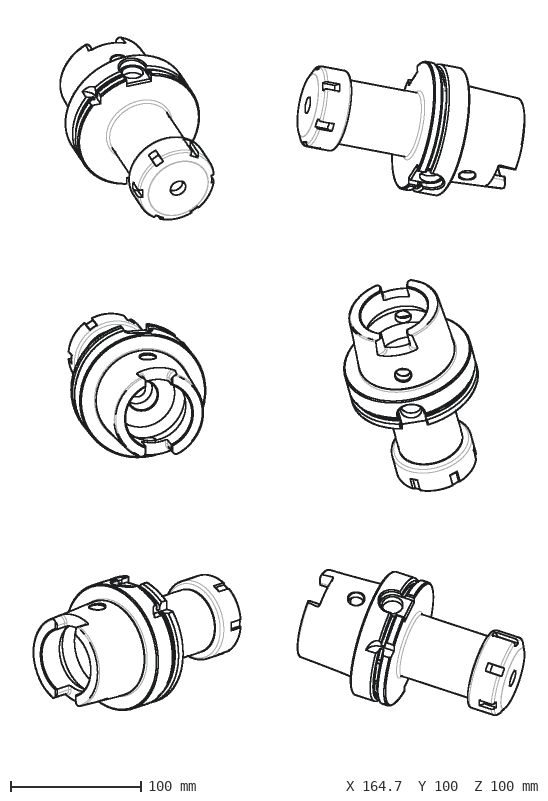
import cadquery as cq
import math


CUT_MARGIN = 3.3

overall_length = 164.7
flange_start = 49.9
flange_end = 79.0
neck_end = 138.7
nut_start = 139.3
nose_end = 158.1

shank_end_radius = 35.4
shank_base_radius = 37.9
taper_end = 47.8
relief_start = 48.6
relief_radius = 37.5
relief_fillet = 1.2
shank_rim_fillet = 1.0

bore_radius = 26.4
bore_mouth_chamfer = 0.8
bore_lip_end = 20.0
recess_radius = 31.0
recess_end = 41.2
recess_cone_angle = 30.0
bore_floor_radius = 25.4
coolant_seat_radius = 11.7
coolant_seat_depth = 16.5
coolant_seat_chamfer = 0.7
through_hole_radius = 6.3

drive_half_width = 10.0
drive_straight_height = 27.5
drive_flare_radius = 5.0
drive_inner_height = 16.5
drive_outer_height = 42.8
drive_outer_half_width = 23.0
drive_depth_top = 10.0
drive_depth_bottom = 14.7
drive_floor_fillet = 1.3
drive_mouth_chamfer = 1.0

cross_hole_x = 34.8
cross_hole_radius = 6.1
cross_hole_chamfer = 0.5

flange_radius = 49.99
flange_chamfer = 1.0
groove_outer_start = 66.7
groove_floor_start = 68.2
groove_floor_end = 71.5
groove_outer_end = 73.1
groove_flank_foot = 48.0
groove_radius = 45.8
groove_floor_fillet = 0.5
neck_radius = 25.0
neck_fillet = 2.0
nose_radius = 24.4

keyway_half_width = 9.9
keyway_floor = 44.0
keyway_center_x = 64.9
keyway_edge_chamfer = 1.2
keyway_end_chamfer = 1.5
pocket_radius = 8.0
pocket_depth = 5.6

notch_offset = 31.5
notch_radius = keyway_half_width
notch_center_x = groove_floor_start

pin_hole_radius = 1.56
pin_hole_depth = 6.6
pin_hole_angles = (30.0, 4.7, -20.0, -30.0)

nut_radius = 31.5
nut_back_fillet = 2.0
nut_face_radius = 24.5
nut_cone_angle = 60.0
nut_shoulder_fillet = 2.3
nut_face_fillet = 0.7
nut_slot_count = 6
nut_slot_half_width = 3.3
nut_slot_floor = 28.3
nut_slot_start = 149.5
nut_long_slot_start = 142.5
nut_long_slot_index = 1


def revolve_about_x(points):
    """Turn a closed (x, radius) outline about the X axis."""
    return cq.Workplane("XY").polyline(points).close().revolve(360, (0, 0, 0), (1, 0, 0))


def edges_at(body, x, radius):
    """Select the circular edge around the X axis at one place and radius."""
    reach = radius + 0.08
    ring = cq.selectors.BoxSelector(
        (x - 0.08, -reach, -reach), (x + 0.08, reach, reach), boundingbox=True
    )
    inner = radius - 0.08
    core = cq.selectors.BoxSelector(
        (x - 0.08, -inner, -inner), (x + 0.08, inner, inner), boundingbox=True
    )
    return body.edges(ring - core)


def holder_blank():
    """Outside of the holder: taper, relief, plain flange, neck and nose."""
    blank = revolve_about_x([
        (0, 0),
        (0, shank_end_radius),
        (taper_end, shank_base_radius),
        (relief_start, relief_radius),
        (flange_start, relief_radius),
        (flange_start, flange_radius),
        (flange_end, flange_radius),
        (flange_end, neck_radius),
        (neck_end, neck_radius),
        (neck_end, nose_radius),
        (nose_end, nose_radius),
        (nose_end, 0),
    ])
    blank = edges_at(blank, 0, shank_end_radius).fillet(shank_rim_fillet)
    blank = edges_at(blank, flange_start, relief_radius).fillet(relief_fillet)
    blank = edges_at(blank, flange_start, flange_radius).chamfer(flange_chamfer)
    blank = edges_at(blank, flange_end, flange_radius).chamfer(flange_chamfer)
    return edges_at(blank, flange_end, neck_radius).fillet(neck_fillet)


def holder_bore():
    """Bore from the shank end: lip, clamping recess, coolant seat and through hole."""
    cone_slope = math.tan(math.radians(recess_cone_angle))
    recess_start = bore_lip_end + (recess_radius - bore_radius) / cone_slope
    bore_floor = recess_end + (recess_radius - bore_floor_radius) / cone_slope
    seat_end = bore_floor + coolant_seat_depth
    return revolve_about_x([
        (0, 0),
        (0, bore_radius + bore_mouth_chamfer),
        (bore_mouth_chamfer, bore_radius),
        (bore_lip_end, bore_radius),
        (recess_start, recess_radius),
        (recess_end, recess_radius),
        (bore_floor, bore_floor_radius),
        (bore_floor, coolant_seat_radius + coolant_seat_chamfer),
        (bore_floor + coolant_seat_chamfer, coolant_seat_radius),
        (seat_end, coolant_seat_radius),
        (seat_end, through_hole_radius),
        (nose_end, through_hole_radius),
        (nose_end, 0),
    ])


def drive_slot(depth):
    """Cutter for the +Z drive slot: straight walls that flare out to the surface."""
    flare_y = drive_half_width + drive_flare_radius
    flare_z = drive_straight_height + drive_flare_radius
    bulge = drive_flare_radius * math.sqrt(0.5)
    mid_y = flare_y - bulge
    mid_z = drive_straight_height + bulge
    slot = (
        cq.Workplane("YZ", origin=(-CUT_MARGIN, 0, 0))
        .moveTo(-drive_half_width, drive_inner_height)
        .lineTo(drive_half_width, drive_inner_height)
        .lineTo(drive_half_width, drive_straight_height)
        .threePointArc((mid_y, mid_z), (flare_y, flare_z))
        .lineTo(drive_outer_half_width, flare_z)
        .lineTo(drive_outer_half_width, drive_outer_height)
        .lineTo(-drive_outer_half_width, drive_outer_height)
        .lineTo(-drive_outer_half_width, flare_z)
        .lineTo(-flare_y, flare_z)
        .threePointArc((-mid_y, mid_z), (-drive_half_width, drive_straight_height))
        .close()
        .extrude(depth + CUT_MARGIN)
        .faces(">X").edges().fillet(drive_floor_fillet)
    )
    mouth = (
        cq.Workplane("XY", origin=(0, 0, drive_inner_height))
        .polyline([
            (0, drive_half_width + drive_mouth_chamfer),
            (drive_mouth_chamfer, drive_half_width),
            (drive_mouth_chamfer, -drive_half_width),
            (0, -drive_half_width - drive_mouth_chamfer),
        ])
        .close()
        .extrude(flare_z - drive_inner_height)
    )
    return slot.union(mouth)


def cross_holes():
    """Hole along Z through both shank walls, with a chamfered rim at each end."""
    rim_height = shank_base_radius - (shank_base_radius - shank_end_radius) * (
        1 - cross_hole_x / taper_end
    )
    rim_radius = cross_hole_radius + cross_hole_chamfer
    half_outline = [
        (0, 0),
        (cross_hole_radius, 0),
        (cross_hole_radius, rim_height - 2 * cross_hole_chamfer),
        (rim_radius, rim_height - cross_hole_chamfer),
        (rim_radius, rim_height + CUT_MARGIN),
        (0, rim_height + CUT_MARGIN),
    ]
    upper = (
        cq.Workplane("XZ", origin=(cross_hole_x, 0, 0))
        .polyline(half_outline)
        .close()
        .revolve(360, (0, 0, 0), (0, 1, 0))
    )
    return upper.union(upper.mirror("XY"))


def gripper_groove():
    """Ring cutter for the groove: sloping flanks, short straight walls, flat floor."""
    groove = revolve_about_x([
        (groove_outer_start, flange_radius),
        (groove_floor_start, groove_flank_foot),
        (groove_floor_start, groove_radius),
        (groove_floor_end, groove_radius),
        (groove_floor_end, groove_flank_foot),
        (groove_outer_end, flange_radius),
    ])
    for wall_x in (groove_floor_start, groove_floor_end):
        groove = edges_at(groove, wall_x, groove_radius).fillet(groove_floor_fillet)
    return groove


def keyway_slot():
    """Cutter for the +Z keyway: flat floor, round at the shank side, open towards +X."""
    open_end = flange_end + CUT_MARGIN
    return (
        cq.Workplane("XY", origin=(0, 0, keyway_floor))
        .moveTo(open_end, -keyway_half_width)
        .lineTo(keyway_center_x, -keyway_half_width)
        .threePointArc(
            (keyway_center_x - keyway_half_width, 0),
            (keyway_center_x, keyway_half_width),
        )
        .lineTo(open_end, keyway_half_width)
        .close()
        .extrude(flange_radius - keyway_floor + CUT_MARGIN)
    )


def keyway_rim(side):
    """Selector for the outer edges of one keyway; side is +1 for +Z and -1 for -Z."""
    reach_y = keyway_half_width + CUT_MARGIN
    rim_low = side * (flange_radius + keyway_floor) / 2
    rim_high = side * (flange_radius + CUT_MARGIN)
    return cq.selectors.BoxSelector(
        (flange_start + CUT_MARGIN, -reach_y, rim_low),
        (flange_end - CUT_MARGIN, reach_y, rim_high),
    )


def keyway_pocket():
    """Round pocket in the floor of the +Z keyway, and the chamfer at the floor's end."""
    pocket = (
        cq.Workplane("XY", origin=(keyway_center_x, 0, keyway_floor - pocket_depth))
        .circle(pocket_radius)
        .extrude(pocket_depth)
    )
    end_chamfer = (
        cq.Workplane("XZ", origin=(flange_end, 0, keyway_floor))
        .polyline([(-keyway_end_chamfer, 0), (0, 0), (0, -keyway_end_chamfer)])
        .close()
        .extrude(keyway_half_width, both=True)
    )
    return pocket.union(end_chamfer)


def orientation_notch():
    """Corner notch on the -Y +Z side of the flange rim, with a round end."""
    center_y = -notch_offset - notch_radius
    open_end = flange_end + CUT_MARGIN
    return (
        cq.Workplane("XY", origin=(0, 0, notch_offset))
        .moveTo(open_end, -notch_offset)
        .lineTo(notch_center_x, -notch_offset)
        .threePointArc(
            (notch_center_x - notch_radius, center_y),
            (notch_center_x, center_y - notch_radius),
        )
        .lineTo(open_end, center_y - notch_radius)
        .close()
        .extrude(flange_radius - notch_offset)
    )


def pin_hole(angle):
    """Radial blind hole in the groove floor."""
    middle = (groove_floor_start + groove_floor_end) / 2
    return (
        cq.Workplane("XZ", origin=(middle, -(groove_radius - pin_hole_depth), 0))
        .circle(pin_hole_radius)
        .extrude(pin_hole_depth + CUT_MARGIN)
        .rotate((0, 0, 0), (1, 0, 0), -angle)
    )


def make_holder():
    holder = holder_blank()
    holder = holder.cut(keyway_slot()).cut(keyway_slot().mirror("XY"))
    for side in (1, -1):
        holder = holder.edges(keyway_rim(side)).chamfer(keyway_edge_chamfer)
    holder = holder.cut(keyway_pocket()).cut(keyway_pocket().mirror("XY"))
    holder = holder.cut(gripper_groove())
    holder = holder.cut(holder_bore())
    holder = holder.cut(drive_slot(drive_depth_top))
    holder = holder.cut(drive_slot(drive_depth_bottom).mirror("XY"))
    holder = holder.cut(cross_holes())
    holder = holder.cut(orientation_notch())
    for angle in pin_hole_angles:
        holder = holder.cut(pin_hole(angle))
    return holder


def nut_slot(start):
    """Cutter for the +Y spanner slot: a 45 degree ramp down to a flat floor."""
    cutter_top = nut_radius + CUT_MARGIN
    ramp_length = cutter_top - nut_slot_floor
    ramp_foot = start + nut_radius - nut_slot_floor
    return (
        cq.Workplane("XY")
        .polyline([
            (ramp_foot - ramp_length, cutter_top),
            (ramp_foot, nut_slot_floor),
            (overall_length, nut_slot_floor),
            (overall_length, cutter_top),
        ])
        .close()
        .extrude(nut_slot_half_width, both=True)
    )


def make_nut():
    cone_length = (nut_radius - nut_face_radius) / math.tan(math.radians(nut_cone_angle))
    shoulder = overall_length - cone_length
    nut = revolve_about_x([
        (nut_start, nose_radius),
        (nut_start, nut_radius),
        (shoulder, nut_radius),
        (overall_length, nut_face_radius),
        (overall_length, through_hole_radius),
        (nose_end, through_hole_radius),
        (nose_end, nose_radius),
    ])
    nut = edges_at(nut, nut_start, nut_radius).fillet(nut_back_fillet)
    nut = edges_at(nut, shoulder, nut_radius).fillet(nut_shoulder_fillet)
    nut = edges_at(nut, overall_length, nut_face_radius).fillet(nut_face_fillet)
    for index in range(nut_slot_count):
        start = nut_long_slot_start if index == nut_long_slot_index else nut_slot_start
        angle = index * 360 / nut_slot_count
        nut = nut.cut(nut_slot(start).rotate((0, 0, 0), (1, 0, 0), angle))
    return nut


holder = make_holder()
nut = make_nut()

result = cq.Compound.makeCompound([holder.val(), nut.val()])